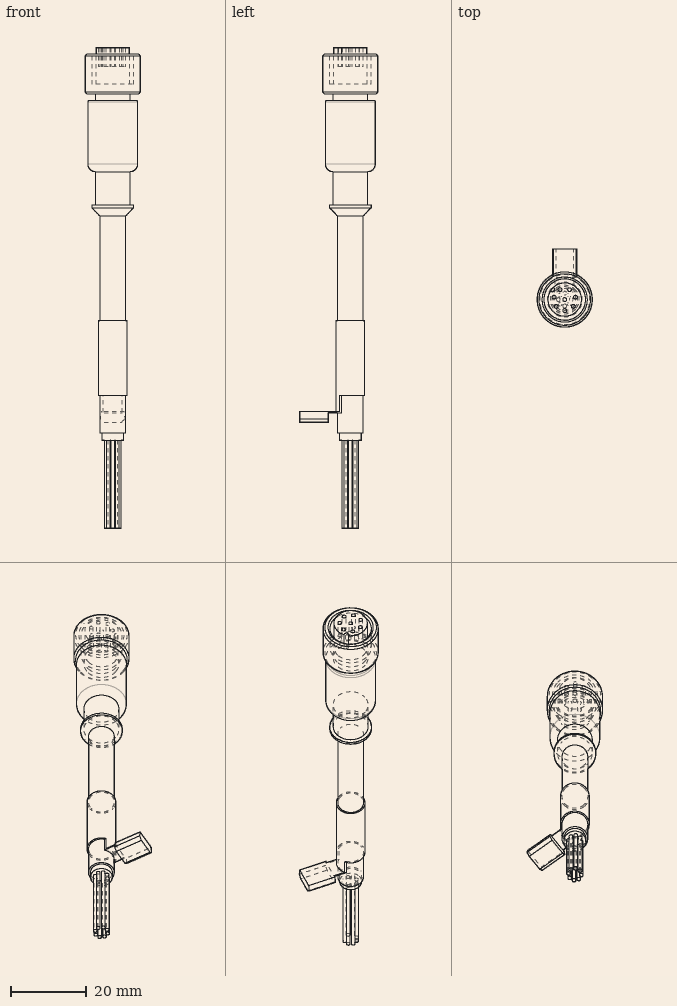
import cadquery as cq
import math

TOTAL_HEIGHT = 126.85

JACKET_END_Z = 23.2
CABLE_END_Z = 25.1
SLEEVE_BOTTOM_Z = 35.0
SLEEVE_LENGTH = 19.8
COLLAR_CONE_Z = 82.4
COLLAR_BOTTOM_Z = 84.6
COLLAR_TOP_Z = 85.35
BODY_BOTTOM_Z = 94.1
BODY_TOP_Z = 112.95
NUT_BOTTOM_Z = 114.6
NUT_TOP_Z = 125.2

JACKET_DIA = 5.8
CABLE_DIA = 6.8
SLEEVE_DIA = 7.6
GRIP_DIA = 9.2
NECK_DIA = GRIP_DIA
COLLAR_DIA = 11.06
BODY_DIA = 13.2
NUT_DIA = 14.6
INSERT_DIA = 8.8

BODY_BOTTOM_FILLET = 2.0
BODY_TOP_FILLET = 0.4
NUT_CHAMFER = 0.5

RECESS_DIA = 10.92
RECESS_DEPTH = 8.0
RECESS_CHAMFER = 0.5

CONTACT_DIA = 1.0
CONTACT_DEPTH = 5.0
CONTACT_CIRCLE_RADIUS = 2.9
RING_CONTACTS = 7
FIRST_CONTACT_ANGLE = -90.0
NOTCH_DIA = 1.2
NOTCH_RADIUS = 4.2
NOTCH_ANGLE = 141.0
NOTCH_DEPTH = 5.0

WIRE_DIA = 1.0
WIRE_COUNT = 8
WIRE_CIRCLE_RADIUS = 1.7

FLAG_TIP_Y = 13.4
FLAG_LENGTH = 7.6
FLAG_TOP_Z = 30.85
FLAG_SIDE_HEIGHT = 1.95
FLAG_THICKNESS = 2.85
FLAG_WIDTH = 6.5
FLAG_TOP_WIDTH = 6.0
FLAG_BOTTOM_WIDTH = 4.6
STRAP_WIDTH = 5.0
STRAP_THICKNESS = 0.4


def cylinder(diameter, bottom_z, top_z):
    """Round bar on the Z axis between two heights."""
    return cq.Workplane("XY").workplane(offset=bottom_z).circle(diameter / 2).extrude(top_z - bottom_z)


def cone(bottom_dia, top_dia, bottom_z, top_z):
    """Truncated cone on the Z axis between two heights."""
    solid = cq.Solid.makeCone(bottom_dia / 2, top_dia / 2, top_z - bottom_z, pnt=cq.Vector(0, 0, bottom_z))
    return cq.Workplane(obj=solid)


def ring_points(radius, count, start_angle):
    """Points spaced evenly on a circle, the first at start_angle in degrees."""
    angles = [math.radians(start_angle + i * 360 / count) for i in range(count)]
    return [(radius * math.cos(a), radius * math.sin(a)) for a in angles]


def make_cable():
    """Cable with stripped inner jacket and shrink sleeve."""
    jacket = cylinder(JACKET_DIA, JACKET_END_Z, CABLE_END_Z)
    cable = cylinder(CABLE_DIA, CABLE_END_Z, COLLAR_CONE_Z)
    sleeve = cylinder(SLEEVE_DIA, SLEEVE_BOTTOM_Z, SLEEVE_BOTTOM_Z + SLEEVE_LENGTH)
    return jacket.union(cable).union(sleeve)


def make_wires():
    """Ring of separate wires below the jacket."""
    points = ring_points(WIRE_CIRCLE_RADIUS, WIRE_COUNT, 0)
    return cq.Workplane("XY").pushPoints(points).circle(WIRE_DIA / 2).extrude(JACKET_END_Z)


def make_body():
    """Moulded body with grip and collar below and a neck above."""
    collar_cone = cone(CABLE_DIA, COLLAR_DIA, COLLAR_CONE_Z, COLLAR_BOTTOM_Z)
    collar = cylinder(COLLAR_DIA, COLLAR_BOTTOM_Z, COLLAR_TOP_Z)
    grip = cylinder(GRIP_DIA, COLLAR_TOP_Z, BODY_BOTTOM_Z)
    body = cylinder(BODY_DIA, BODY_BOTTOM_Z, BODY_TOP_Z)
    body = body.faces("<Z").edges().fillet(BODY_BOTTOM_FILLET)
    body = body.faces(">Z").edges().fillet(BODY_TOP_FILLET)
    neck = cylinder(NECK_DIA, BODY_TOP_Z, NUT_BOTTOM_Z)
    return collar_cone.union(collar).union(grip).union(body).union(neck)


def make_nut():
    """Coupling nut with chamfered rims and an open recess at the top."""
    nut = cylinder(NUT_DIA, NUT_BOTTOM_Z, NUT_TOP_Z).edges().chamfer(NUT_CHAMFER)
    recess = cylinder(RECESS_DIA, NUT_TOP_Z - RECESS_DEPTH, NUT_TOP_Z)
    mouth = cone(RECESS_DIA, RECESS_DIA + 2 * RECESS_CHAMFER, NUT_TOP_Z - RECESS_CHAMFER, NUT_TOP_Z)
    return nut.cut(recess).cut(mouth)


def make_insert():
    """Contact insert with its contact holes and coding notch."""
    insert = cylinder(INSERT_DIA, NUT_TOP_Z - RECESS_DEPTH, TOTAL_HEIGHT)
    face = cq.Workplane("XY").workplane(offset=TOTAL_HEIGHT)
    contacts = [(0, 0)] + ring_points(CONTACT_CIRCLE_RADIUS, RING_CONTACTS, FIRST_CONTACT_ANGLE)
    holes = face.pushPoints(contacts).circle(CONTACT_DIA / 2).extrude(-CONTACT_DEPTH)
    notch = face.pushPoints(ring_points(NOTCH_RADIUS, 1, NOTCH_ANGLE))
    notch = notch.circle(NOTCH_DIA / 2).extrude(-NOTCH_DEPTH)
    return insert.cut(holes).cut(notch)


def make_flag():
    """Label flag carried by a strap that leaves the sleeve and bends outwards."""
    root_y = FLAG_TIP_Y - FLAG_LENGTH
    half_outline = [
        (FLAG_TOP_WIDTH / 2, FLAG_TOP_Z),
        (FLAG_WIDTH / 2, FLAG_TOP_Z - FLAG_SIDE_HEIGHT),
        (FLAG_BOTTOM_WIDTH / 2, FLAG_TOP_Z - FLAG_THICKNESS),
    ]
    outline = half_outline + [(-x, z) for x, z in reversed(half_outline)]
    flag = cq.Workplane("XZ", origin=(0, root_y, 0)).polyline(outline).close().extrude(-FLAG_LENGTH)

    strap_bottom_z = FLAG_TOP_Z - STRAP_THICKNESS
    strap_plane = cq.Workplane("XY", origin=(0, root_y / 2, strap_bottom_z))
    tongue = strap_plane.rect(STRAP_WIDTH, root_y).extrude(STRAP_THICKNESS)
    strap_space = strap_plane.rect(STRAP_WIDTH, root_y).extrude(SLEEVE_BOTTOM_Z - strap_bottom_z)
    shell = cylinder(SLEEVE_DIA, strap_bottom_z, SLEEVE_BOTTOM_Z).intersect(strap_space)
    return flag.union(shell).union(tongue)


result = make_cable()
for feature in (make_wires(), make_body(), make_nut(), make_insert(), make_flag()):
    result = result.union(feature)